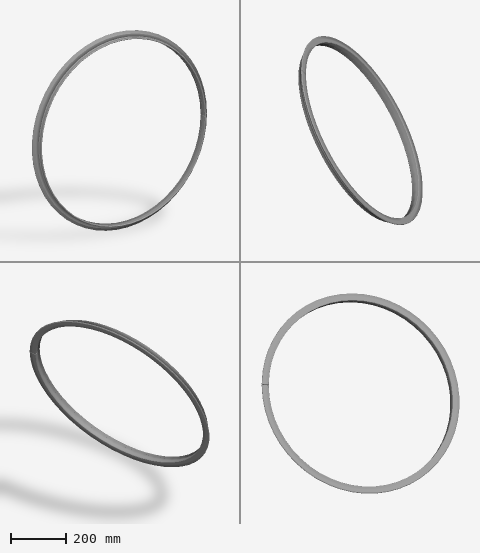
import cadquery as cq

ring_width = 31.98
outer_radius = 376.6

face_bevel_width = 1.8
face_bevel_height = 2.2
rim_end = 3.5
lip_end = 10.6
lip_end_radius = 366.3

groove_radius = 353.8
groove_end = 15.8

crest_radius = 358.2
crest_bevel = 2.2
crest_end = 21.6
body_radius = 356.1
body_bevel = 2.1

bore_radius = 350.1
bore_front_bevel_width = 1.6
bore_front_bevel_height = 1.3
front_land_end = 10.6
relief_depth = 1.0
relief_end = 20.7
rear_step = 0.1
bore_rear_bevel = 1.9

split_gap = 2.4


def outside_points():
    """Outer half of the cross-section as (x, radius), from the flat face to the rear."""
    return [
        (0, outer_radius - face_bevel_height),
        (face_bevel_width, outer_radius),
        (rim_end, outer_radius),
        (lip_end, lip_end_radius),
        (lip_end, groove_radius),
        (groove_end, groove_radius),
        (groove_end, crest_radius - crest_bevel),
        (groove_end + crest_bevel, crest_radius),
        (crest_end, body_radius),
        (ring_width - body_bevel, body_radius),
        (ring_width, body_radius - body_bevel),
    ]


def bore_points():
    """Bore side of the cross-section as (x, radius), from the rear to the flat face."""
    relief_radius = bore_radius + relief_depth
    rear_radius = relief_radius - rear_step
    return [
        (ring_width, rear_radius + bore_rear_bevel),
        (ring_width - bore_rear_bevel, rear_radius),
        (relief_end, rear_radius),
        (relief_end, relief_radius),
        (front_land_end, relief_radius),
        (front_land_end, bore_radius),
        (bore_front_bevel_width, bore_radius),
        (0, bore_radius + bore_front_bevel_height),
    ]


def full_ring():
    """Closed ring made by turning the cross-section about the X axis."""
    section = cq.Workplane("XY").polyline(outside_points() + bore_points()).close()
    return section.revolve(360, (0, 0, 0), (1, 0, 0))


def split_cutter():
    """Thin slab reaching from the ring axis outward through the +Y side."""
    return cq.Workplane("XY").box(ring_width, outer_radius, split_gap, centered=(False, False, True))


result = full_ring().cut(split_cutter())